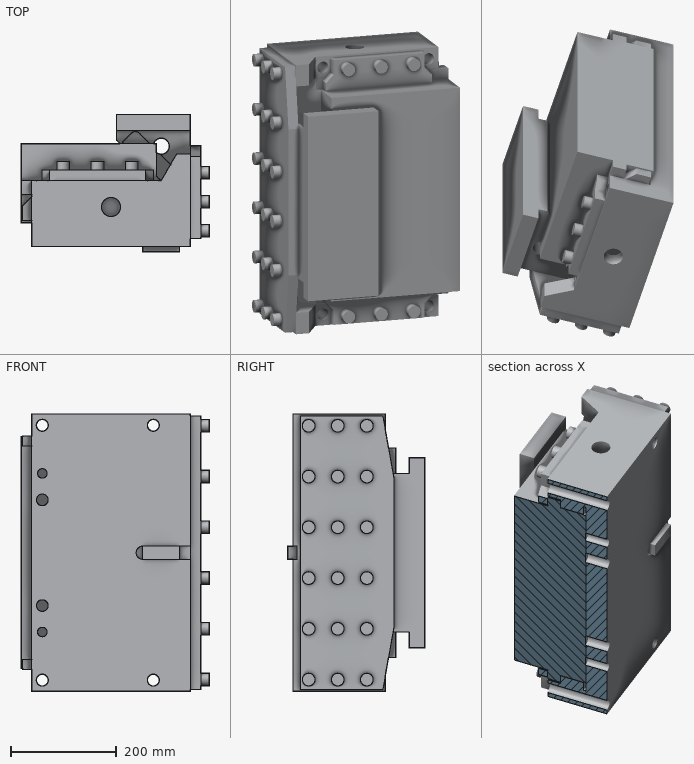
import cadquery as cq
import math


base_length = 300.0
base_half_width = 262.5
base_height = 125.0
channel_floor = 45.0
channel_half_width = 221.0

ridge_height = 50.0
ridge_foot_x = 245.0
ridge_angle = 60.0
ridge_top_y = base_height + ridge_height
ridge_top_x = ridge_foot_x + ridge_height / math.tan(math.radians(ridge_angle))

mount_hole_diameter = 22.0
mount_hole_xs = (20.0, 230.0)
mount_hole_z = 241.0
floor_hole_x = 20.0
floor_holes = ((150.0, 18.0), (100.0, 22.0))
end_hole_x = 150.0
end_hole_y = 75.0
end_hole_diameter = 36.0
end_hole_depth = 30.0

slot_width = 25.0
slot_depth = 8.0
key_start_x = 210.0
key_length = 70.0
key_protrusion = 10.0

gib_overhang = 17.0
gib_bottom = 49.0
gib_top = 98.5
gib_inner_z = 202.0
gib_chamfer = 21.0

screw_diameter = 24.0
screw_head_height = 16.0

retainer_thickness = 20.0
retainer_center_x = 124.5
retainer_half_length = 105.5
retainer_corner = 15.0
retainer_inner_z = 200.0
retainer_outer_z = 258.0
retainer_step_z = 230.0
retainer_screw_pitch = 65.0
retainer_screw_z = mount_hole_z
retainer_top = base_height + retainer_thickness

thrust_thickness = 20.0
thrust_bottom = 15.0
thrust_end_y = 170.5
thrust_peak_y = 191.0
thrust_half_width = 259.0
thrust_slope_angle = 10.0
thrust_slope_run = (thrust_peak_y - thrust_end_y) / math.tan(math.radians(thrust_slope_angle))
thrust_peak_half_width = thrust_half_width - thrust_slope_run
thrust_screw_ys = (30.0, 85.0, 140.0)
thrust_screw_z_pitch = 96.0
thrust_screw_z_count = 6
thrust_outer_x = base_length + thrust_thickness

slide_overhang = 20.0
slide_right_x = 236.0
slide_top = 195.0
slide_half_width = 198.5
slide_foot_half_width = 219.5
cam_foot_sum = 369.0

wedge_half_width = 150.0
crest_x = 196.0
crest_y = 222.0
crest_radius = 10.0
cam_sum = crest_x + crest_y
crest_diff = crest_y - crest_x

driver_left_x = 160.0
driver_top = 250.0
driver_flange_bottom = 220.0
driver_flange_half_width = 180.0
driver_web_half_width = 150.0
driver_toe = 7.0
driver_bore_x = 245.0
driver_bore_y = 190.0
driver_bore_diameter = 30.0


def prism(points, z_start, z_end):
    """Closed XY outline extruded from z_start to z_end."""
    return cq.Workplane("XY", origin=(0, 0, z_start)).polyline(points).close().extrude(z_end - z_start)


def box(x_range, y_range, z_range):
    """Block given by its limits along each axis."""
    sizes = [limits[1] - limits[0] for limits in (x_range, y_range, z_range)]
    return cq.Workplane("XY").box(*sizes, centered=False).translate((x_range[0], y_range[0], z_range[0]))


def cylinder(start, direction, diameter, length):
    """Cylinder standing on a start point along a direction."""
    return cq.Workplane(cq.Solid.makeCylinder(diameter / 2, length, cq.Vector(*start), cq.Vector(*direction)))


def both_ends(shape):
    """The shape together with its mirror image about Z = 0."""
    return shape.union(shape.mirror("XY"))


def base_block():
    outline = [
        (0, 0),
        (base_length, 0),
        (base_length, ridge_top_y),
        (ridge_top_x, ridge_top_y),
        (ridge_foot_x, base_height),
        (0, base_height),
    ]
    block = prism(outline, -base_half_width, base_half_width)
    channel = box(
        (0, base_length),
        (channel_floor, ridge_top_y),
        (-channel_half_width, channel_half_width),
    )
    return block.cut(channel)


def base_holes():
    holes = cylinder(
        (end_hole_x, end_hole_y, base_half_width), (0, 0, -1), end_hole_diameter, end_hole_depth
    )
    for x in mount_hole_xs:
        holes = holes.union(cylinder((x, 0, mount_hole_z), (0, 1, 0), mount_hole_diameter, base_height))
    for z, diameter in floor_holes:
        holes = holes.union(cylinder((floor_hole_x, 0, z), (0, 1, 0), diameter, channel_floor))
    return both_ends(holes)


def key_slot():
    half_width = slot_width / 2
    straight = box((key_start_x, base_length), (0, slot_depth), (-half_width, half_width))
    round_end = cylinder((key_start_x, 0, 0), (0, 1, 0), slot_width, slot_depth)
    return straight.union(round_end)


def key():
    return box(
        (key_start_x, key_start_x + key_length),
        (-key_protrusion, slot_depth),
        (-slot_width / 2, slot_width / 2),
    )


def guide_strips():
    outline = [
        (-gib_overhang, gib_bottom),
        (base_length, gib_bottom),
        (base_length, gib_top),
        (gib_chamfer - gib_overhang, gib_top),
        (-gib_overhang, gib_top - gib_chamfer),
    ]
    return both_ends(prism(outline, gib_inner_z, channel_half_width))


def retainer_plates():
    left = retainer_center_x - retainer_half_length
    right = retainer_center_x + retainer_half_length
    chamfer_start_z = retainer_step_z - retainer_corner
    plate = (
        cq.Workplane("XZ", origin=(0, base_height, 0))
        .polyline([
            (left, retainer_inner_z),
            (right, retainer_inner_z),
            (right, chamfer_start_z),
            (right - retainer_corner, retainer_step_z),
            (right - retainer_corner, retainer_outer_z),
            (left + retainer_corner, retainer_outer_z),
            (left + retainer_corner, retainer_step_z),
            (left, chamfer_start_z),
        ])
        .close()
        .extrude(-retainer_thickness)
    )
    for step in (-1, 0, 1):
        x = retainer_center_x + step * retainer_screw_pitch
        head = cylinder((x, retainer_top, retainer_screw_z), (0, 1, 0), screw_diameter, screw_head_height)
        plate = plate.union(head)
    return both_ends(plate)


def thrust_plate():
    plate = (
        cq.Workplane("YZ", origin=(base_length, 0, 0))
        .polyline([
            (thrust_bottom, -thrust_half_width),
            (thrust_end_y, -thrust_half_width),
            (thrust_peak_y, -thrust_peak_half_width),
            (thrust_peak_y, thrust_peak_half_width),
            (thrust_end_y, thrust_half_width),
            (thrust_bottom, thrust_half_width),
        ])
        .close()
        .extrude(thrust_thickness)
    )
    for index in range(thrust_screw_z_count):
        z = (index - (thrust_screw_z_count - 1) / 2) * thrust_screw_z_pitch
        for y in thrust_screw_ys:
            head = cylinder((thrust_outer_x, y, z), (1, 0, 0), screw_diameter, screw_head_height)
            plate = plate.union(head)
    return plate


def driver_bore():
    return cylinder(
        (driver_bore_x, driver_bore_y, -driver_flange_half_width),
        (0, 0, 1),
        driver_bore_diameter,
        2 * driver_flange_half_width,
    )


def cam_wedge():
    """Band between the two 45 degree faces, with its upper corner rounded."""
    crest = (crest_x, crest_y)
    lower_corner_x = (cam_foot_sum - crest_diff) / 2
    outline = [
        crest,
        (lower_corner_x, lower_corner_x + crest_diff),
        (base_length, cam_foot_sum - base_length),
        (base_length, cam_sum - base_length),
    ]
    wedge = prism(outline, -wedge_half_width, wedge_half_width)
    return wedge.edges(cq.selectors.NearestToPointSelector((*crest, 0))).fillet(crest_radius)


def slide_block():
    left = -slide_overhang
    upper = prism(
        [
            (left, base_height),
            (cam_foot_sum - base_height, base_height),
            (slide_right_x, cam_foot_sum - slide_right_x),
            (slide_right_x, slide_top),
            (left, slide_top),
        ],
        -slide_half_width,
        slide_half_width,
    )
    foot = prism(
        [
            (left, channel_floor),
            (base_length, channel_floor),
            (base_length, cam_foot_sum - base_length),
            (cam_foot_sum - base_height, base_height),
            (left, base_height),
        ],
        -slide_foot_half_width,
        slide_foot_half_width,
    )
    rabbet = box((left, base_length), (channel_floor, gib_top), (gib_inner_z, slide_foot_half_width))
    return upper.union(foot.cut(both_ends(rabbet)))


def driver_blank():
    """Flanged driver before it is fitted to the slide."""
    web = prism(
        [
            (driver_left_x, driver_flange_bottom),
            (driver_left_x, slide_top + driver_toe),
            (driver_left_x + driver_toe, slide_top),
            (slide_right_x, slide_top),
            (slide_right_x, cam_sum - slide_right_x),
            (base_length, cam_sum - base_length),
            (base_length, driver_flange_bottom),
        ],
        -driver_web_half_width,
        driver_web_half_width,
    )
    flange = box(
        (driver_left_x, base_length),
        (driver_flange_bottom, driver_top),
        (-driver_flange_half_width, driver_flange_half_width),
    )
    return web.union(flange)


base = base_block().cut(base_holes()).cut(key_slot())
for fitting in (key(), guide_strips(), retainer_plates(), thrust_plate()):
    base = base.union(fitting)

wedge = cam_wedge()
slide = slide_block().union(wedge.cut(driver_bore()))
driver = driver_blank().cut(wedge).cut(driver_bore())

result = cq.Compound.makeCompound([base.val(), slide.val(), driver.val()])